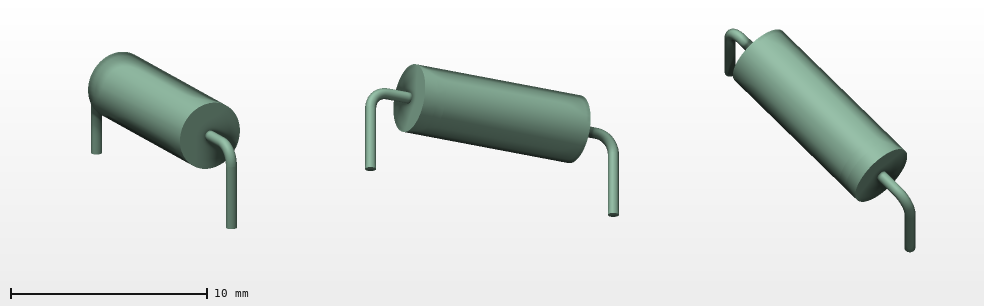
import cadquery as cq

overall_length = 14.53
overall_height = 6.05

body_diameter = 3.52
body_length = 9.52

groove_diameter = 3.5
band_width = 0.5
band_offset = 0.71

lead_diameter = 0.57
bend_radius = 0.96

body_end_x = body_length / 2
lead_x = (overall_length - lead_diameter) / 2
lead_tip_z = body_diameter / 2 - overall_height


def make_band():
    return (
        cq.Workplane("YZ", origin=(-body_end_x + band_offset, 0, 0))
        .circle(body_diameter / 2)
        .circle(groove_diameter / 2)
        .extrude(band_width)
    )


def make_body(groove_ring):
    """Cylinder with a groove that exactly holds the given ring."""
    cylinder = cq.Workplane("YZ", origin=(-body_end_x, 0, 0)).circle(body_diameter / 2).extrude(body_length)
    return cylinder.cut(groove_ring)


def make_lead(side):
    """Wire from a body end face, bent down to its tip; side is -1 or +1 along X."""
    path = (
        cq.Workplane("XZ")
        .moveTo(side * body_end_x, 0)
        .lineTo(side * (lead_x - bend_radius), 0)
        .tangentArcPoint((side * lead_x, -bend_radius), relative=False)
        .lineTo(side * lead_x, lead_tip_z)
    )
    return cq.Workplane("YZ", origin=(side * body_end_x, 0, 0)).circle(lead_diameter / 2).sweep(path)


band = make_band()
body = make_body(band)
leads = [make_lead(side) for side in (-1, 1)]

result = cq.Compound.makeCompound([body.val(), band.val(), *[lead.val() for lead in leads]])